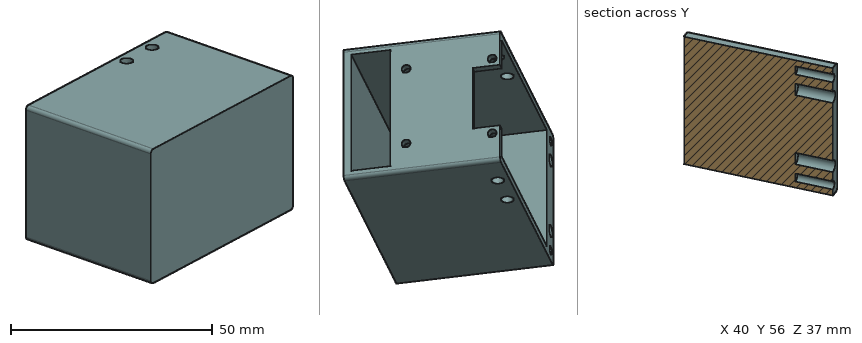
import cadquery as cq

length_x = 40.0
width_y = 56.0
height_z = 37.0
edge_radius = 1.0

wall = 2.0
thick_wall = 7.0

cavity_depth = length_x - wall
cavity_y_min = -width_y / 2 + thick_wall
cavity_y_max = width_y / 2 - wall
cavity_height = height_z - 2 * wall

connector_notch_depth = 7.0
connector_notch_height = 17.2
panel_end_x = 28.0

board_hole_diameter = 2.2
board_hole_x = (2.0, 24.0)
board_hole_z = 10.6

cross_hole_diameter = 3.2
cross_hole_x = 3.0
cross_hole_y = (8.0, 18.0)

face_hole_y = -25.0
face_hole_depth = 10.0
small_hole_diameter = 2.2
small_hole_z = 15.5
large_hole_diameter = 3.2
large_hole_z = 10.0


def box_between(x_range, y_range, z_height):
    """Box spanning the given X and Y ranges, centred on z = 0."""
    x_size = x_range[1] - x_range[0]
    y_size = y_range[1] - y_range[0]
    box = cq.Workplane("XY").box(x_size, y_size, z_height, centered=(False, False, True))
    return box.translate((x_range[0], y_range[0], 0))


def make_shell():
    """Box with rounded edges along X, hollowed from its -X face."""
    outer = box_between((0, length_x), (-width_y / 2, width_y / 2), height_z)
    outer = outer.edges("|X").fillet(edge_radius)
    return outer.cut(box_between((0, cavity_depth), (cavity_y_min, cavity_y_max), cavity_height))


def cut_panel_openings(body):
    """Connector notch at the open face and full-height gap at the closed end."""
    panel_y = (cavity_y_max, width_y / 2)
    body = body.cut(box_between((0, connector_notch_depth), panel_y, connector_notch_height))
    return body.cut(box_between((panel_end_x, cavity_depth), panel_y, cavity_height))


def cut_board_holes(body):
    points = [(x, side * board_hole_z) for x in board_hole_x for side in (-1, 1)]
    drills = (
        cq.Workplane("XZ", origin=(0, cavity_y_max, 0))
        .pushPoints(points)
        .circle(board_hole_diameter / 2)
        .extrude(-wall)
    )
    return body.cut(drills)


def cut_cross_holes(body):
    drills = (
        cq.Workplane("XY", origin=(0, 0, -height_z / 2))
        .pushPoints([(cross_hole_x, y) for y in cross_hole_y])
        .circle(cross_hole_diameter / 2)
        .extrude(height_z)
    )
    return body.cut(drills)


def cut_face_holes(body, diameter, z_offset):
    """Pair of blind holes in the -X face, mirrored about z = 0."""
    drills = (
        cq.Workplane("YZ")
        .pushPoints([(face_hole_y, side * z_offset) for side in (-1, 1)])
        .circle(diameter / 2)
        .extrude(face_hole_depth)
    )
    return body.cut(drills)


result = make_shell()
result = cut_panel_openings(result)
result = cut_board_holes(result)
result = cut_cross_holes(result)
result = cut_face_holes(result, small_hole_diameter, small_hole_z)
result = cut_face_holes(result, large_hole_diameter, large_hole_z)